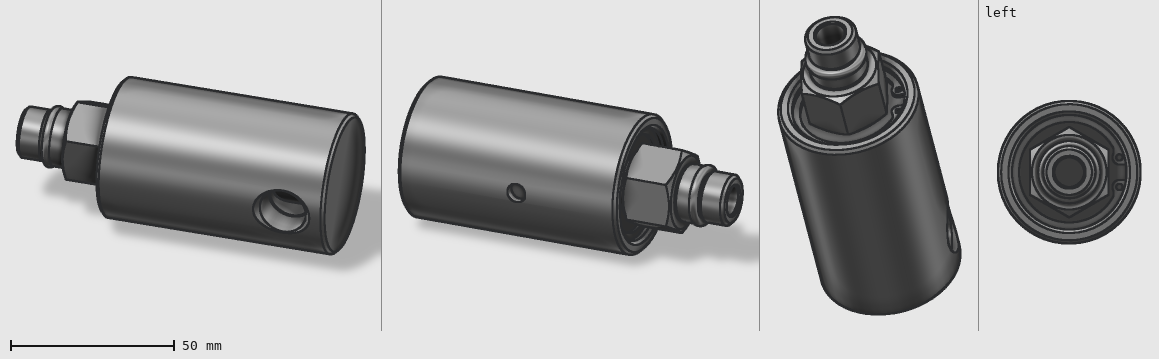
import cadquery as cq
import math

TOTAL_LENGTH = 102.8

BODY_START = 29.8
BODY_DIAMETER = 43.7
BODY_CHAMFER = 1.0

RECESS_DIAMETER = 35.0
RECESS_MOUTH_DIAMETER = 37.2
RECESS_DEPTH = 3.8

RING_THICKNESS = 1.2
RING_INNER_DIAMETER = 30.7
RING_GAP = 4.7
LUG_RADIUS = 2.2
LUG_HOLE_DIAMETER = 2.0
LUG_Y = -15.3
LUG_Z = RING_GAP / 2 + LUG_RADIUS
LUG_FILLET = 2.6

HEX_SIDES = 6
HEX_START = 15.9
HEX_END = 32.0
HEX_ACROSS_FLATS = 24.0
HEX_FACE_DIAMETER = 22.8
HEX_CHAMFER_ANGLE = 30.0
SHANK_DIAMETER = 19.8

TIP_DIAMETER = 15.9
TIP_END = 8.4
TIP_CHAMFER = 1.0
NECK_DIAMETER = 13.9
COLLAR_DIAMETER = 18.0
COLLAR_START = 10.3
COLLAR_END = 15.3
RELIEF_DIAMETER = 17.6

SEAL_SECTION = 2.9
SEAL_OUTER_DIAMETER = 19.0
SEAL_X = TIP_END + SEAL_SECTION / 2

BORE_DIAMETER = 9.0
BORE_DEPTH = 29.8
BORE_CHAMFER = 0.5

PORT_X = 89.2
PORT_DIAMETER = 14.7
PORT_FLOOR_DIAMETER = 13.9
PORT_LEDGE_DEPTH = 10.8
PORT_MOUTH_DIAMETER = 18.0
SHAFT_DIAMETER = 15.9

VENT_X = 63.0
VENT_DIAMETER = 6.0
VENT_DEPTH = 3.1


def rod(start, end, diameter):
    """Cylinder on the X axis from start to end."""
    return cq.Workplane("YZ", origin=(start, 0, 0)).circle(diameter / 2).extrude(end - start)


def turned(points):
    """Solid turned about the X axis from an outline of (x, radius) points."""
    return cq.Workplane("XY").polyline(points).close().revolve(360, (0, 0, 0), (1, 0, 0))


def make_body():
    body = rod(BODY_START, TOTAL_LENGTH, BODY_DIAMETER).faces("<X or >X").chamfer(BODY_CHAMFER)
    bevel = (RECESS_MOUTH_DIAMETER - RECESS_DIAMETER) / 2
    recess = turned([
        (BODY_START, 0),
        (BODY_START, RECESS_MOUTH_DIAMETER / 2),
        (BODY_START + bevel, RECESS_DIAMETER / 2),
        (BODY_START + RECESS_DEPTH, RECESS_DIAMETER / 2),
        (BODY_START + RECESS_DEPTH, 0),
    ])
    return body.cut(recess)


def make_retaining_ring():
    base = cq.Workplane("YZ", origin=(BODY_START + RECESS_DEPTH - RING_THICKNESS, 0, 0))
    disc = base.circle(RECESS_DIAMETER / 2).extrude(RING_THICKNESS)
    ring = disc.cut(base.circle(RING_INNER_DIAMETER / 2).extrude(RING_THICKNESS))
    lug_centres = [(LUG_Y, LUG_Z), (LUG_Y, -LUG_Z)]
    lugs = base.pushPoints(lug_centres).circle(LUG_RADIUS).extrude(RING_THICKNESS)
    ring = ring.union(lugs.intersect(disc))
    gap = base.center(-RECESS_DIAMETER / 2, 0).rect(RECESS_DIAMETER, RING_GAP).extrude(RING_THICKNESS)
    lug_holes = base.pushPoints(lug_centres).circle(LUG_HOLE_DIAMETER / 2).extrude(RING_THICKNESS)
    ring = ring.cut(gap).cut(lug_holes)
    for side in (-1, 1):
        lug_root = cq.selectors.BoxSelector(
            (BODY_START, -RING_INNER_DIAMETER / 2, side * (LUG_Z + LUG_HOLE_DIAMETER / 2)),
            (BODY_START + RECESS_DEPTH, LUG_Y + LUG_RADIUS, side * (LUG_Z + LUG_RADIUS)),
        )
        ring = ring.edges("|X").edges(lug_root).fillet(LUG_FILLET)
    return ring


def make_hexagon():
    across_corners = HEX_ACROSS_FLATS / math.cos(math.pi / HEX_SIDES)
    hexagon = (
        cq.Workplane("YZ", origin=(HEX_START, 0, 0))
        .polygon(HEX_SIDES, across_corners)
        .extrude(HEX_END - HEX_START)
        .rotate((0, 0, 0), (1, 0, 0), 90)
    )
    corner_radius = across_corners / 2
    chamfer_length = (corner_radius - HEX_FACE_DIAMETER / 2) * math.tan(math.radians(HEX_CHAMFER_ANGLE))
    envelope = turned([
        (HEX_START, 0),
        (HEX_START, HEX_FACE_DIAMETER / 2),
        (HEX_START + chamfer_length, corner_radius),
        (HEX_END - chamfer_length, corner_radius),
        (HEX_END, HEX_FACE_DIAMETER / 2),
        (HEX_END, 0),
    ])
    shank = rod(HEX_END, BODY_START + RECESS_DEPTH, SHANK_DIAMETER)
    return hexagon.intersect(envelope).union(shank)


def make_spigot():
    tip = rod(0, TIP_END, TIP_DIAMETER).faces("<X or >X").chamfer(TIP_CHAMFER)
    neck = rod(TIP_END, COLLAR_START, NECK_DIAMETER)
    collar = rod(COLLAR_START, COLLAR_END, COLLAR_DIAMETER)
    relief = rod(COLLAR_END, HEX_START, RELIEF_DIAMETER)
    seal_radius = (SEAL_OUTER_DIAMETER - SEAL_SECTION) / 2
    seal = (
        cq.Workplane("XY")
        .moveTo(SEAL_X, seal_radius)
        .circle(SEAL_SECTION / 2)
        .revolve(360, (0, 0, 0), (1, 0, 0))
    )
    return tip.union(neck).union(collar).union(relief).union(seal)


def make_bore():
    return turned([
        (0, 0),
        (0, BORE_DIAMETER / 2 + BORE_CHAMFER),
        (BORE_CHAMFER, BORE_DIAMETER / 2),
        (BORE_DEPTH, BORE_DIAMETER / 2),
        (BORE_DEPTH, 0),
    ])


def make_port():
    """Stepped radial hole on -Y with a 45 degree mouth."""
    surface = -BODY_DIAMETER / 2
    sink_y = surface + (PORT_MOUTH_DIAMETER - PORT_DIAMETER) / 2
    ledge_y = surface + PORT_LEDGE_DEPTH
    hole = (
        cq.Workplane("XY")
        .polyline([
            (PORT_X, surface),
            (PORT_X + PORT_MOUTH_DIAMETER / 2, surface),
            (PORT_X + PORT_DIAMETER / 2, sink_y),
            (PORT_X + PORT_DIAMETER / 2, ledge_y),
            (PORT_X + PORT_FLOOR_DIAMETER / 2, ledge_y),
            (PORT_X + PORT_FLOOR_DIAMETER / 2, 0),
            (PORT_X, 0),
        ])
        .close()
        .revolve(360, (PORT_X, 0, 0), (PORT_X, 1, 0))
    )
    return hole.cut(rod(BODY_START, TOTAL_LENGTH, SHAFT_DIAMETER))


def make_vent():
    vent_plane = cq.Workplane("XZ", origin=(VENT_X, BODY_DIAMETER / 2, 0))
    return vent_plane.circle(VENT_DIAMETER / 2).extrude(VENT_DEPTH)


result = (
    make_body()
    .union(make_retaining_ring())
    .union(make_hexagon())
    .union(make_spigot())
    .cut(make_bore())
    .cut(make_port())
    .cut(make_vent())
)